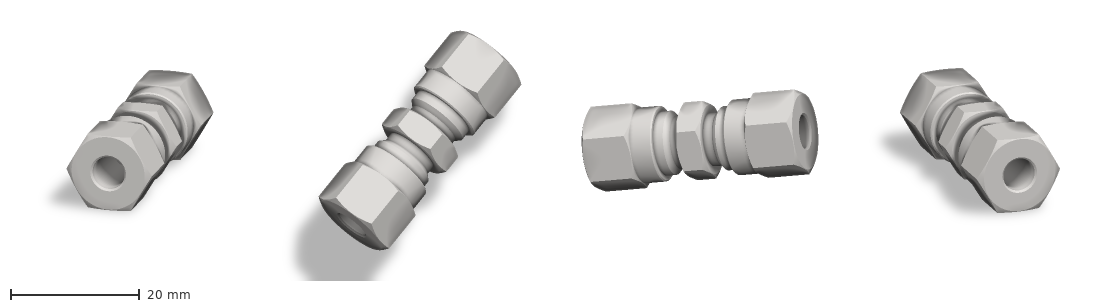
import cadquery as cq
import math

overall_length = 34.81
half_length = overall_length / 2

nut_across_flats = 12.0
nut_length = 7.93
nut_face_diameter = 11.8

collar_diameter = 11.8
collar_length = 3.55
collar_chamfer = 0.2

shoulder_diameter = 10.0
shoulder_length = 1.6
neck_diameter = 8.35
neck_cone_length = (shoulder_diameter - neck_diameter) / 2

middle_across_flats = 11.0
middle_length = 4.1
middle_face_diameter = 10.8

hex_chamfer_angle = 30.0

through_diameter = 3.5
tube_bore_diameter = 5.2
tube_bore_depth = nut_length + collar_length
mouth_diameter = 5.8
mouth_chamfer = (mouth_diameter - tube_bore_diameter) / 2

nut_start = half_length - nut_length
collar_start = nut_start - collar_length
cone_end = collar_start - shoulder_length
cone_start = cone_end - neck_cone_length


def revolve_about_y(profile):
    """Revolve a closed list of (radius, y) points about the Y axis."""
    return cq.Workplane("XY").polyline(profile).close().revolve(360, (0, 0, 0), (0, 1, 0))


def chamfered_hexagon(y_start, length, across_flats, face_diameter):
    """Hexagonal prism along +Y, flats facing +Z and -Z, corners turned down at both ends."""
    across_corners = across_flats / math.cos(math.radians(30))
    corner_radius = across_corners / 2
    face_radius = face_diameter / 2
    chamfer_depth = (corner_radius - face_radius) * math.tan(math.radians(hex_chamfer_angle))
    y_end = y_start + length
    prism = (
        cq.Workplane("XZ", origin=(0, y_start, 0))
        .polygon(6, across_corners)
        .extrude(-length)
    )
    turned_envelope = revolve_about_y([
        (0, y_start),
        (face_radius, y_start),
        (corner_radius, y_start + chamfer_depth),
        (corner_radius, y_end - chamfer_depth),
        (face_radius, y_end),
        (0, y_end),
    ])
    return prism.intersect(turned_envelope)


def turned_half():
    """Neck, cone, shoulder and collar of the +Y half."""
    collar_radius = collar_diameter / 2
    shoulder_radius = shoulder_diameter / 2
    neck_radius = neck_diameter / 2
    return revolve_about_y([
        (0, 0),
        (neck_radius, 0),
        (neck_radius, cone_start),
        (shoulder_radius, cone_end),
        (shoulder_radius, collar_start),
        (collar_radius - collar_chamfer, collar_start),
        (collar_radius, collar_start + collar_chamfer),
        (collar_radius, nut_start),
        (0, nut_start),
    ])


def bore_half():
    """Through bore, tube bore and chamfered mouth of the +Y half."""
    through_radius = through_diameter / 2
    tube_radius = tube_bore_diameter / 2
    return revolve_about_y([
        (0, 0),
        (through_radius, 0),
        (through_radius, half_length - tube_bore_depth),
        (tube_radius, half_length - tube_bore_depth),
        (tube_radius, half_length - mouth_chamfer),
        (mouth_diameter / 2, half_length),
        (0, half_length),
    ])


end_nut = chamfered_hexagon(nut_start, nut_length, nut_across_flats, nut_face_diameter)
half_body = turned_half().union(end_nut).cut(bore_half())

middle_hexagon = chamfered_hexagon(
    -middle_length / 2, middle_length, middle_across_flats, middle_face_diameter
)
through_hole = cq.Workplane("XZ").circle(through_diameter / 2).extrude(middle_length, both=True)

result = (
    half_body
    .union(half_body.mirror("XZ"))
    .union(middle_hexagon.cut(through_hole))
)